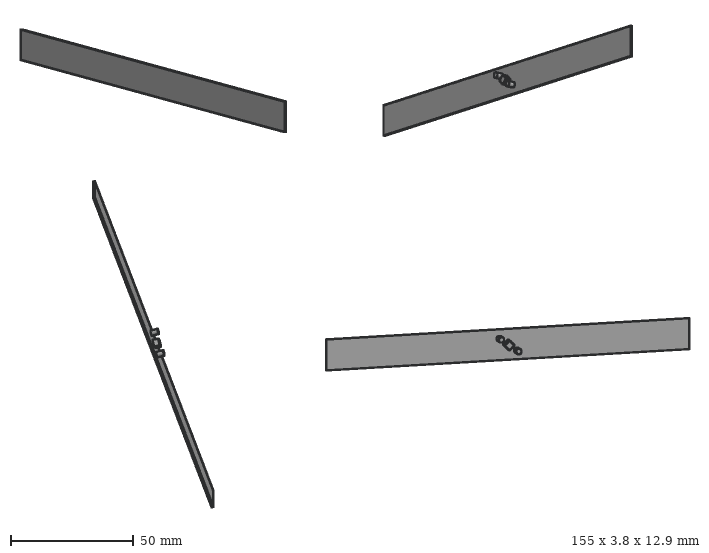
import cadquery as cq

plate_length = 155.0
plate_height = 12.9
plate_thickness = 0.8

peg_diameter = 2.3
peg_length = 3.0
peg_offset_x = 3.7
peg_offset_z = 2.6

block_side = 3.0
block_length = 2.3
block_turn = 45.0


def rear_face():
    """Workplane on the rear face of the plate; its normal is +Y and its local Y is +Z."""
    return cq.Workplane(cq.Plane(origin=(0, 0, 0), xDir=(-1, 0, 0), normal=(0, 1, 0)))


def make_plate():
    return rear_face().rect(plate_length, plate_height).extrude(-plate_thickness)


def make_block():
    square = rear_face().transformed(rotate=(0, 0, block_turn)).rect(block_side, block_side)
    return square.extrude(block_length)


def make_peg(x, z):
    peg = rear_face().circle(peg_diameter / 2).extrude(peg_length)
    return peg.translate((x, 0, z))


plate = make_plate()
block = make_block()

pegs = []
for side in (-1, 1):
    pegs.append(make_peg(side * peg_offset_x, side * peg_offset_z))

result = cq.Compound.makeCompound([plate.val(), block.val(), *[peg.val() for peg in pegs]])